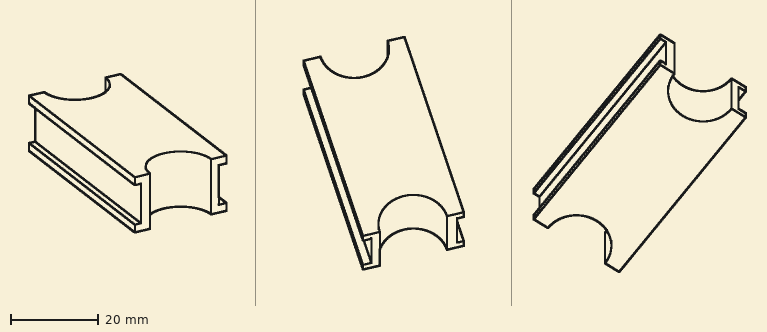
import cadquery as cq

length = 50.0
width = 24.0
height = 14.0

flange_thickness = 2.0
front_channel_depth = 1.59
back_channel_depth = 2.0
channel_height = height - 2 * flange_thickness

notch_radius = 8.0


def side_channel(side, depth):
    """Full-length channel cutter for the -Y (side = -1) or +Y (side = 1) face."""
    channel_center_y = side * (width - depth) / 2
    return cq.Workplane("XY").box(length, depth, channel_height).translate((0, channel_center_y, 0))


def end_notch(end):
    """Vertical cylinder cutter centred on the -X (end = -1) or +X (end = 1) face."""
    return cq.Workplane("XY").center(end * length / 2, 0).cylinder(height, notch_radius)


result = cq.Workplane("XY").box(length, width, height)
result = result.cut(side_channel(-1, front_channel_depth))
result = result.cut(side_channel(1, back_channel_depth))
for end in (-1, 1):
    result = result.cut(end_notch(end))